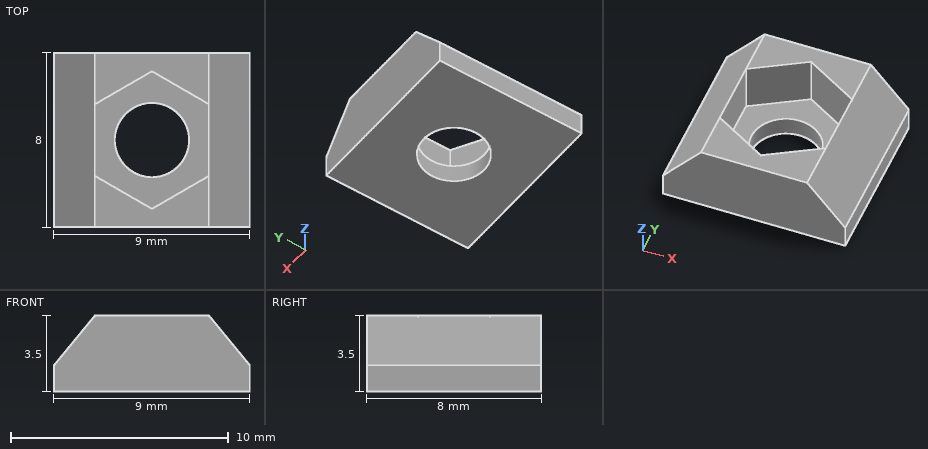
import cadquery as cq
import math

width = 9.0
length = 8.0
height = 3.5

top_width = 5.24
side_height = 1.215

hex_across_corners = 6.32
pocket_depth = 2.5
hole_diameter = 3.4


def make_body():
    """Block with sloping shoulders, extruded along Y."""
    return (
        cq.Workplane("XZ")
        .moveTo(-width / 2, 0)
        .lineTo(width / 2, 0)
        .lineTo(width / 2, side_height)
        .lineTo(top_width / 2, height)
        .lineTo(-top_width / 2, height)
        .lineTo(-width / 2, side_height)
        .close()
        .extrude(length / 2, both=True)
    )


def make_nut_pocket():
    """Six-sided pocket with two corners on the Y axis.

    Its slanted walls follow a regular hexagon, and its two straight walls
    stand exactly under the edges of the top face.
    """
    tip_y = hex_across_corners / 2
    wall_x = top_width / 2
    wall_end_y = tip_y - wall_x * math.tan(math.radians(30))
    corners = [
        (0, tip_y),
        (wall_x, wall_end_y),
        (wall_x, -wall_end_y),
        (0, -tip_y),
        (-wall_x, -wall_end_y),
        (-wall_x, wall_end_y),
    ]
    pocket_floor = height - pocket_depth
    return cq.Workplane("XY").workplane(offset=pocket_floor).polyline(corners).close().extrude(pocket_depth)


def make_screw_hole():
    """Round hole through the full height."""
    return cq.Workplane("XY").circle(hole_diameter / 2).extrude(height)


result = make_body().cut(make_nut_pocket()).cut(make_screw_hole())